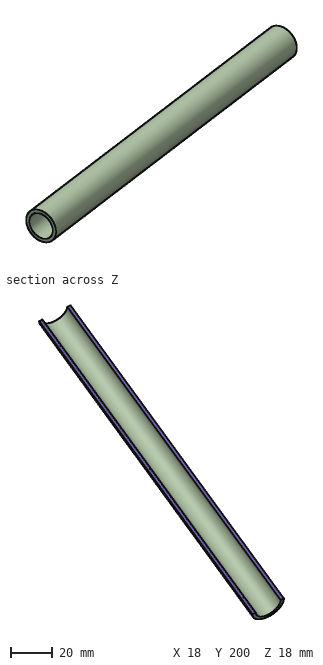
import cadquery as cq

length = 200.0
outer_diameter = 18.0
wall = 2.0
bore_diameter = outer_diameter - 2 * wall

result = (
    cq.Workplane("XZ", origin=(0, length / 2, 0))
    .circle(outer_diameter / 2)
    .circle(bore_diameter / 2)
    .extrude(length)
)